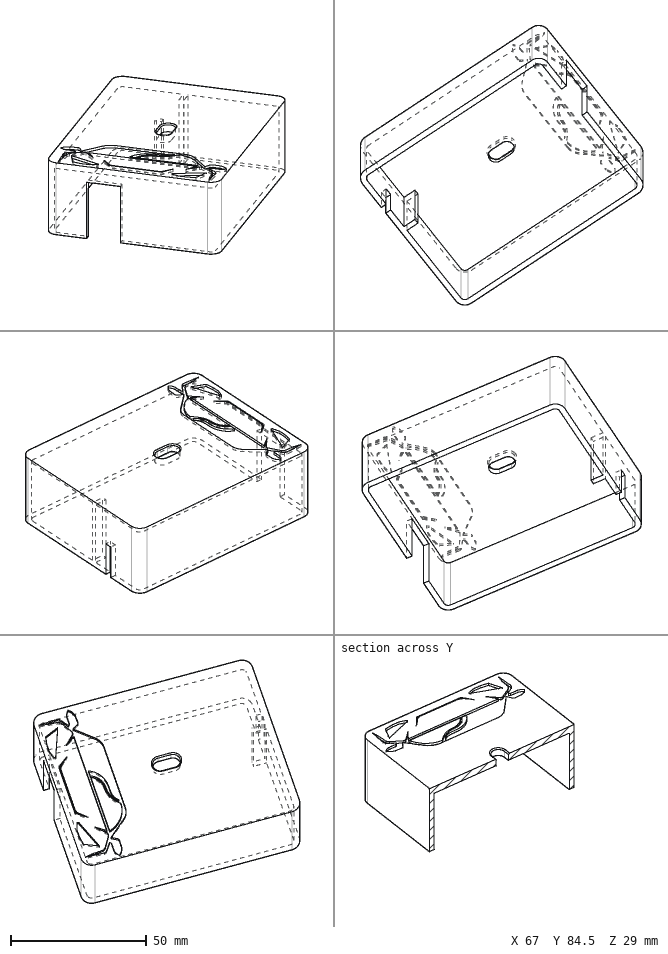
import cadquery as cq

width = 67.0
length = 84.5
height = 29.0
corner_radius = 4.1
wall = 2.25
roof_thickness = 3.25
cavity_height = height - roof_thickness
front_y = -length / 2
back_y = length / 2

opening_from_side = 15.9
opening_left = -width / 2 + opening_from_side
opening_width = 13.1
opening_height = 22.7
opening_right = opening_left + opening_width
back_slot_width = 2.8
back_slot_height = 13.6

rib_thickness = 1.9
rib_depth = 5.0

slot_mouth_width = 6.5
slot_mouth_length = 11.5
slot_chamfer = 0.5
slot_center_x = -0.3
slot_width = slot_mouth_width - 2 * slot_chamfer
slot_length = slot_mouth_length - 2 * slot_chamfer

car_center_x = 0.15
car_depth = 1.0
roof_y = 22.05
hood_y = 12.7
window_sill_y = 13.6
headlight_bottom_y = 2.15
grille_bottom_y = 3.65
grille_bar = 0.35


def box_between(x_min, x_max, y_min, y_max, top):
    """Block standing on the bottom plane."""
    block = cq.Workplane("XY").box(x_max - x_min, y_max - y_min, top, centered=False)
    return block.translate((x_min, y_min, 0))


def make_shell():
    outer = cq.Workplane("XY").rect(width, length).extrude(height)
    outer = outer.edges("|Z").fillet(corner_radius)
    cavity = cq.Workplane("XY").rect(width - 2 * wall, length - 2 * wall).extrude(cavity_height)
    cavity = cavity.edges("|Z").fillet(corner_radius - wall)
    return outer.cut(cavity)


def make_rib():
    inner_back_y = back_y - wall
    return box_between(
        opening_right - rib_thickness, opening_right, inner_back_y - rib_depth, inner_back_y, cavity_height
    )


def make_front_opening():
    return box_between(opening_left, opening_right, front_y, front_y + wall, opening_height)


def make_back_slot():
    return box_between(opening_left, opening_left + back_slot_width, back_y - wall, back_y, back_slot_height)


def make_top_slot():
    hole = (
        cq.Workplane("XY", origin=(slot_center_x, 0, cavity_height))
        .slot2D(slot_length, slot_width, 90)
        .extrude(roof_thickness)
    )
    mouth = (
        cq.Workplane("XY", origin=(slot_center_x, 0, height))
        .slot2D(slot_mouth_length, slot_mouth_width, 90)
        .extrude(-slot_chamfer, taper=45)
    )
    return hole.union(mouth)


def car_plane():
    """Sketch plane on the floor of the car artwork."""
    return cq.Workplane("XY", origin=(car_center_x, front_y, height - car_depth))


def mirrored(shape):
    """The shape together with its reflection across the car's centre line."""
    twin = shape.translate((-car_center_x, 0, 0)).mirror("YZ").translate((car_center_x, 0, 0))
    return shape.union(twin)


def make_body_recess():
    """Windscreen, mirrors and fender lines: one half drawn, then mirrored."""
    half = (
        car_plane()
        .moveTo(0, hood_y)
        .lineTo(0, roof_y)
        .lineTo(13.8, roof_y)
        .threePointArc((15.9, 21.5), (17.7, 20.3))
        .lineTo(24.0, 13.3)
        .lineTo(25.3, 15.5)
        .threePointArc((25.7, 15.8), (26.3, 15.9))
        .lineTo(29.2, 15.8)
        .threePointArc((30.7, 15.2), (32.1, 13.95))
        .threePointArc((31.0, 13.1), (29.8, hood_y))
        .lineTo(26.5, hood_y)
        .lineTo(25.9, 12.1)
        .lineTo(29.2, 9.8)
        .lineTo(29.6, 8.9)
        .lineTo(29.5, 7.3)
        .lineTo(29.2, 1.7)
        .lineTo(28.6, 4.8)
        .lineTo(28.3, 8.9)
        .lineTo(27.5, 9.9)
        .lineTo(22.8, hood_y)
        .lineTo(22.1, hood_y)
        .lineTo(18.1, 8.9)
        .lineTo(20.85, hood_y)
        .close()
        .extrude(car_depth)
    )
    return mirrored(half)


def make_headlights():
    headlight = (
        car_plane()
        .moveTo(26.2, 8.1)
        .lineTo(14.8, 3.8)
        .threePointArc((14.3, 3.4), (14.6, 3.0))
        .lineTo(17.3, headlight_bottom_y)
        .lineTo(20.5, headlight_bottom_y)
        .lineTo(23.8, 2.7)
        .close()
        .extrude(car_depth)
    )
    return mirrored(headlight)


def make_grille():
    half = (
        car_plane()
        .moveTo(0, grille_bottom_y)
        .lineTo(10.3, grille_bottom_y)
        .lineTo(13.4, 7.7)
        .lineTo(10.2, grille_bottom_y + 2 * grille_bar)
        .lineTo(9.2, grille_bottom_y + grille_bar)
        .lineTo(0, grille_bottom_y + grille_bar)
        .close()
        .extrude(car_depth)
    )
    return mirrored(half)


def make_window():
    """Raised right-hand part of the windscreen."""
    return (
        car_plane()
        .moveTo(-2.6, window_sill_y)
        .lineTo(21.2, window_sill_y)
        .threePointArc((17.75, 18.6), (11.4, 21.05))
        .spline([(9.1, 19.0), (5.8, 17.4), (2.1, 17.0), (-0.5, 15.8), (-2.6, window_sill_y)], includeCurrent=True)
        .close()
        .extrude(car_depth)
    )


def make_reflection():
    """Raised curved streak beside the window."""
    return (
        car_plane()
        .moveTo(-5.3, window_sill_y)
        .lineTo(-3.1, window_sill_y)
        .spline([(-0.2, 16.8), (2.3, 17.6), (5.2, 17.8), (7.4, 18.7), (9.7, 20.75)], includeCurrent=True)
        .spline([(6.8, 19.0), (1.7, 18.7), (-2.5, 17.05), (-5.3, window_sill_y)], includeCurrent=True)
        .close()
        .extrude(car_depth)
    )


def make_car_recess():
    body = make_body_recess().cut(make_window()).cut(make_reflection())
    return body.union(make_headlights()).union(make_grille())


cover = make_shell().union(make_rib())
cover = cover.cut(make_front_opening()).cut(make_back_slot())
cover = cover.cut(make_top_slot())
result = cover.cut(make_car_recess())